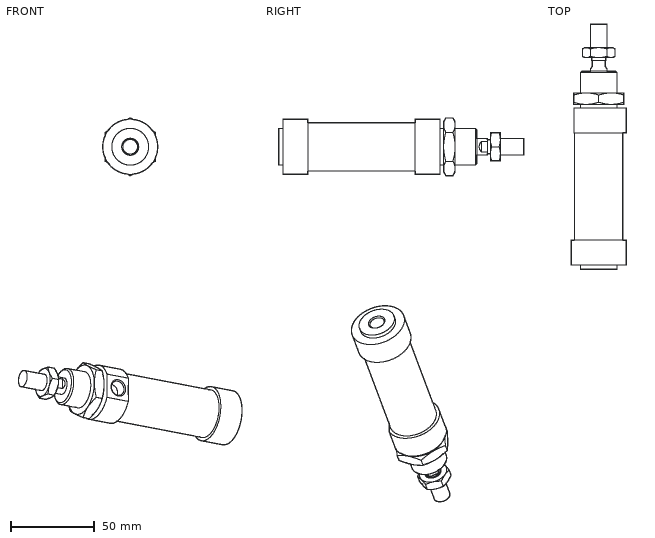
import cadquery as cq
import math


neck_dia = 22.0
neck_length = 22.0
neck_chamfer = 1.0
head_dia = 33.0
head_length = 15.0
head_flat_x = -14.8
tube_dia = 29.0
tube_length = 64.0
cap_length = 15.0
spigot_length = 2.5

port_dia = 8.8
port_mouth_dia = 10.2
port_offset = 8.0
side_port_depth = 8.0
rear_port_depth = 11.0
drill_tip_angle = 118.0

rod_dia = 10.0
rod_overhang = 28.0
rod_shoulder_length = 6.2
undercut_dia = 8.5
undercut_length = 1.8
wrench_width = 8.0
wrench_flat_length = 3.6
wrench_runout = 1.3

rod_nut_width = 17.0
rod_nut_thickness = 6.0
mounting_nut_width = 30.0
mounting_nut_thickness = 7.0
mounting_nut_gap = 2.0
nut_chamfer_angle = 30.0
nut_face_ratio = 0.995

head_rear_y = -head_length
tube_rear_y = head_rear_y - tube_length
cap_rear_y = tube_rear_y - cap_length
rear_y = cap_rear_y - spigot_length
neck_front_y = neck_length
rod_tip_y = neck_front_y + rod_overhang
rod_shoulder_y = neck_front_y + rod_shoulder_length
undercut_front_y = rod_shoulder_y + undercut_length


def cylinder_along_y(diameter, y_start, length):
    """Cylinder on the Y axis, from y_start towards +Y."""
    return cq.Workplane("XZ", origin=(0, y_start, 0)).circle(diameter / 2).extrude(-length)


def port_cutter(depth, tip_length):
    """Port hole along +Z with a 45 degree mouth at Z = 0; a tip_length of 0 leaves a flat floor."""
    radius = port_dia / 2
    mouth_radius = port_mouth_dia / 2
    return (
        cq.Workplane("XZ")
        .moveTo(0, 0)
        .lineTo(mouth_radius, 0)
        .lineTo(radius, mouth_radius - radius)
        .lineTo(radius, depth)
        .lineTo(0, depth + tip_length)
        .close()
        .revolve(360, (0, 0, 0), (0, 1, 0))
    )


def make_body():
    """Neck, head, tube, rear cap and spigot in one piece, with the rod bore and the ports."""
    neck = cylinder_along_y(neck_dia, 0, neck_length).faces(">Y").chamfer(neck_chamfer)
    head = cylinder_along_y(head_dia, head_rear_y, head_length)
    beyond_flat = cq.Workplane("XY").box(head_dia, head_length, head_dia).translate(
        (head_flat_x - head_dia / 2, head_rear_y + head_length / 2, 0)
    )
    tube = cylinder_along_y(tube_dia, tube_rear_y, tube_length)
    cap = cylinder_along_y(head_dia, cap_rear_y, cap_length)
    spigot = cylinder_along_y(neck_dia, rear_y, spigot_length)
    body = head.cut(beyond_flat).union(neck).union(tube).union(cap).union(spigot)

    side_port = port_cutter(side_port_depth, 0).rotate((0, 0, 0), (0, 1, 0), 90)
    side_port = side_port.translate((head_flat_x, -port_offset, 0))
    tip_length = port_dia / 2 / math.tan(math.radians(drill_tip_angle / 2))
    rear_port = port_cutter(rear_port_depth, tip_length).rotate((0, 0, 0), (1, 0, 0), -90)
    rear_port = rear_port.translate((0, rear_y, 0))
    rod_bore = cylinder_along_y(rod_dia, 0, neck_length)
    return body.cut(side_port).cut(rear_port).cut(rod_bore)


def make_rod():
    """Piston rod seated in the neck, with an undercut and two wrench flats behind it."""
    rod = cylinder_along_y(rod_dia, 0, rod_tip_y)
    undercut_core = cylinder_along_y(undercut_dia, rod_shoulder_y, undercut_length)
    rod = rod.cut(cylinder_along_y(rod_dia, rod_shoulder_y, undercut_length).cut(undercut_core))

    flat_x = wrench_width / 2
    rod_radius = rod_dia / 2
    flat_rear_y = rod_shoulder_y - wrench_flat_length
    for side in (-1, 1):
        flat_cutter = (
            cq.Workplane("XY", origin=(0, 0, -rod_radius))
            .moveTo(side * flat_x, rod_shoulder_y)
            .lineTo(side * flat_x, flat_rear_y)
            .lineTo(side * rod_radius, flat_rear_y - wrench_runout)
            .lineTo(side * rod_radius, rod_shoulder_y)
            .close()
            .extrude(rod_dia)
        )
        rod = rod.cut(flat_cutter)
    return rod


def make_nut(width, thickness, bore_dia, y_start, turn):
    """Hexagon nut on the Y axis, both faces chamfered; turn = 0 puts corners on the X axis."""
    corner_radius = width / math.sqrt(3)
    face_radius = nut_face_ratio * width / 2
    drop = (corner_radius - face_radius) * math.tan(math.radians(nut_chamfer_angle))
    hexagon = cq.Workplane("XZ").polygon(6, 2 * corner_radius).extrude(-thickness)
    hexagon = hexagon.rotate((0, 0, 0), (0, 1, 0), turn)
    chamfer_envelope = (
        cq.Workplane("XY")
        .moveTo(0, 0)
        .lineTo(face_radius, 0)
        .lineTo(corner_radius, drop)
        .lineTo(corner_radius, thickness - drop)
        .lineTo(face_radius, thickness)
        .lineTo(0, thickness)
        .close()
        .revolve(360, (0, 0, 0), (0, 1, 0))
    )
    nut = hexagon.intersect(chamfer_envelope).cut(cylinder_along_y(bore_dia, 0, thickness))
    return nut.translate((0, y_start, 0))


body = make_body()
rod = make_rod()
rod_nut = make_nut(rod_nut_width, rod_nut_thickness, rod_dia, undercut_front_y, 0)
mounting_nut = make_nut(mounting_nut_width, mounting_nut_thickness, neck_dia, mounting_nut_gap, 30)

result = cq.Compound.makeCompound([body.val(), rod.val(), rod_nut.val(), mounting_nut.val()])